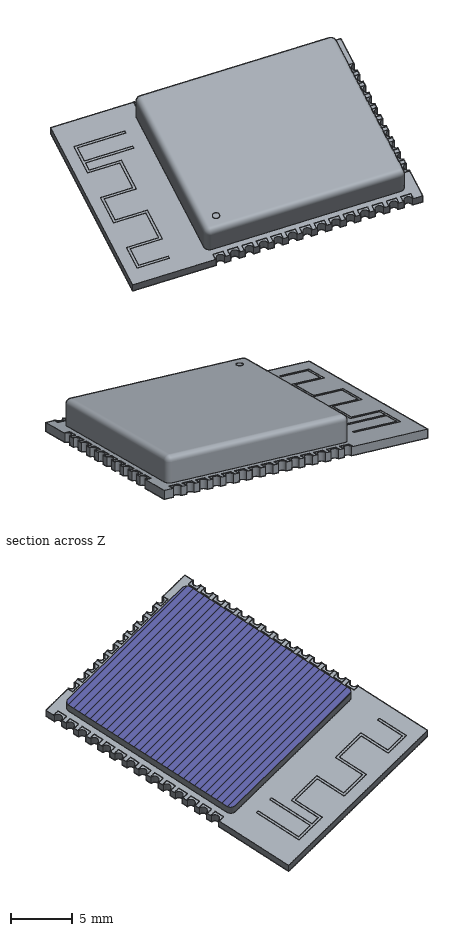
import cadquery as cq

board_width = 18.0
board_length = 25.5
board_thickness = 0.8
total_height = 3.1

can_width = 15.8
can_length = 17.6
can_back_gap = 1.02
can_rounding = 0.5

pad_width = 0.9
pad_rise = 0.038
notch_radius = 0.35
side_pad_count = 14
side_pad_depth = 0.55
side_pad_span = 16.5
pad_pitch = side_pad_span / (side_pad_count - 1)
first_side_pad_gap = 1.28
back_pad_count = 10
back_pad_depth = 0.5

trace_width = 0.23
trace_rise = 0.013
antenna_left = -6.3
feed_spacing = 1.73
feed_end = -7.27
trace_low = -11.63
trace_high = -8.8
first_loop_left = -3.52
loop_width = 3.05
loop_pitch = 5.7
loop_count = 2
antenna_right = 7.37

dot_radius = 0.3
dot_depth = 0.03
dot_x = 6.48
dot_y = -4.4

back_edge = board_length / 2
side_edge = board_width / 2


def pad_row(count, start):
    """Pad centre positions, one pitch apart, running upward from start."""
    return [start + i * pad_pitch for i in range(count)]


def make_can():
    can_center_y = back_edge - can_back_gap - can_length / 2
    can = (
        cq.Workplane("XY", origin=(0, can_center_y, board_thickness))
        .rect(can_width, can_length)
        .extrude(total_height - board_thickness)
        .edges("|Z or >Z")
        .fillet(can_rounding)
    )
    dot = (
        cq.Workplane("XY", origin=(dot_x, dot_y, total_height - dot_depth))
        .circle(dot_radius)
        .extrude(dot_depth)
    )
    return can.cut(dot)


def make_pads(centers, size_x, size_y):
    """Thin rectangular pads on the board's top face."""
    return (
        cq.Workplane("XY", origin=(0, 0, board_thickness))
        .pushPoints(centers)
        .rect(size_x, size_y)
        .extrude(pad_rise)
    )


def trace(x_start, x_end, y_start, y_end):
    """Antenna run whose centre line joins two corners, squared off past both ends."""
    center = ((x_start + x_end) / 2, (y_start + y_end) / 2, board_thickness)
    return (
        cq.Workplane("XY", origin=center)
        .rect(x_end - x_start + trace_width, y_end - y_start + trace_width)
        .extrude(trace_rise)
    )


def make_antenna():
    feed_top = feed_end - trace_width / 2
    inner_feed = antenna_left + feed_spacing
    antenna = trace(antenna_left, antenna_left, trace_low, feed_top)
    antenna = antenna.union(trace(inner_feed, inner_feed, trace_low, feed_top))
    run_start = antenna_left
    for i in range(loop_count):
        loop_left = first_loop_left + i * loop_pitch
        loop_right = loop_left + loop_width
        antenna = antenna.union(trace(run_start, loop_left, trace_low, trace_low))
        antenna = antenna.union(trace(loop_left, loop_left, trace_low, trace_high))
        antenna = antenna.union(trace(loop_left, loop_right, trace_high, trace_high))
        antenna = antenna.union(trace(loop_right, loop_right, trace_low, trace_high))
        run_start = loop_right
    antenna = antenna.union(trace(run_start, antenna_right, trace_low, trace_low))
    return antenna.union(trace(antenna_right, antenna_right, trace_low, trace_high - trace_width))


front_side_pad_y = back_edge - first_side_pad_gap - side_pad_span
side_rows = pad_row(side_pad_count, front_side_pad_y)
back_pad_span = (back_pad_count - 1) * pad_pitch
back_rows = pad_row(back_pad_count, -back_pad_span / 2)

side_notches = [(side * side_edge, y) for side in (-1, 1) for y in side_rows]
back_notches = [(x, back_edge) for x in back_rows]

side_pad_x = side_edge - side_pad_depth / 2
side_pad_centers = [(side * side_pad_x, y) for side in (-1, 1) for y in side_rows]
side_pads = make_pads(side_pad_centers, side_pad_depth, pad_width)
back_pad_y = back_edge - back_pad_depth / 2
back_pad_centers = [(x, back_pad_y) for x in back_rows]
back_pads = make_pads(back_pad_centers, pad_width, back_pad_depth)

notches = (
    cq.Workplane("XY")
    .pushPoints(side_notches + back_notches)
    .circle(notch_radius)
    .extrude(board_thickness + pad_rise)
)

board = cq.Workplane("XY").box(board_width, board_length, board_thickness, centered=(True, True, False))
result = board.union(side_pads).union(back_pads).cut(notches).union(make_antenna()).union(make_can())